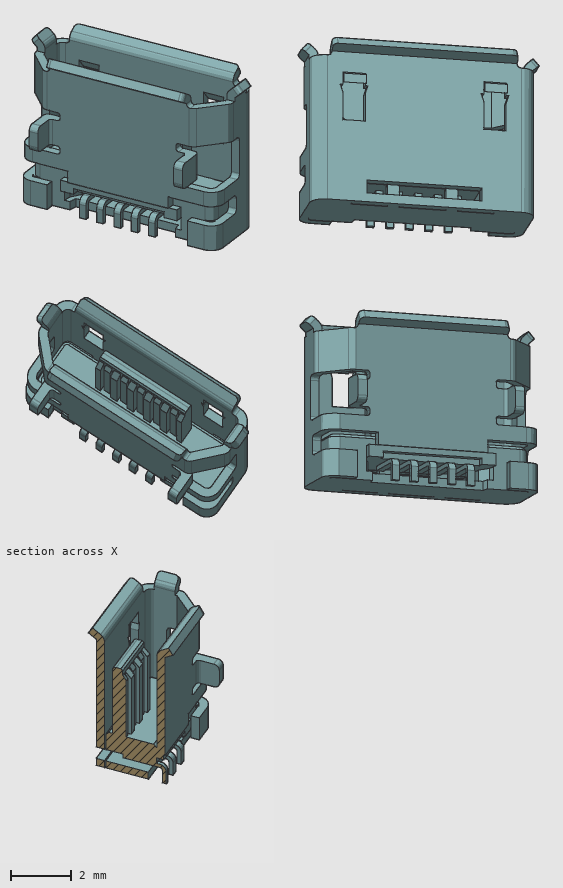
import cadquery as cq
import math


overrun = 0.08

overall_width = 8.0
overall_height = 5.6
shell_width = 7.52
shell_depth = 2.48
wall = 0.3
mouth_z = 5.02
outer_corner = 0.5
inner_corner = outer_corner - wall
half_width = shell_width / 2
inner_half = half_width - wall
inner_back = shell_depth - wall

mouth_chamfer_x = 0.93
mouth_chamfer_y = 0.98
mouth_bend_radius = wall

window_bottom = 2.1
window_top = 3.62
window_back = 1.48
window_front_end = 2.21
window_corner = 0.15
notch_corner = 0.1

band_bottom = 1.58
slot_back = 1.28
slot_corner = 0.15
strap_top = 0.9
strap_proud = 0.05
strap_corner = 0.46
strap_end = 2.66
apron_half = 1.91
apron_bottom = 1.15

leg_bottom = 2.4
leg_top = 3.33
leg_outer = 2.91
leg_root = window_front_end + notch_corner
leg_thickness = 0.33
leg_reach = 0.8
leg_outer_radius = 0.2
leg_inner_radius = 0.1
leg_tip_radius = 0.2

lip_corner = 0.15
lip_neck_fillet = 0.14
back_lip_width = 6.22
front_lip_width = 5.22
side_lip_width = 0.75
side_lip_y = 1.55
end_lip_angle = 58.0
side_lip_angle = 48.0
end_lip_reach = 0.29
side_lip_reach = (overall_width - shell_width) / 2

flap_inner_x = 1.99
flap_outer_x = 2.74
back_window_bottom = 2.8
back_window_top = 4.51
barb_depth = 0.09
barb_top = 4.03
barb_bottom = 3.76
flap_reach = 0.2
flap_thickness = 0.3
flap_angle = 29.0
flap_root_z = 4.46

floor_z = 1.5
floor_chamfer = 0.1
housing_back = 2.13
housing_front_corner = 0.32
housing_back_corner = 0.2
base_front_corner = 0.1
pad_inner_x = 2.39
rib_inner_x = 0.78
rib_outer_x = 1.18
pad_top = floor_z - floor_chamfer

lintel_half = 2.22
lintel_front = 0.05
lintel_bottom = 0.75
lintel_recess_half = 1.72
lintel_recess_top = 0.96

channel_half = 1.93
channel_mouth_half = lintel_half
channel_throat_half = 2.18
channel_taper_end = 0.96
sill_top = 0.3
sill_front = 0.6
sill_mouth_half = 2.01
sill_throat_half = 1.95

tongue_half = 1.7
tongue_back = 1.9
tongue_web_front = 1.52
tongue_rib_front = 1.3
tongue_top = 4.24
tongue_back_radius = 0.15
tongue_bevel = 0.06
tongue_rib_top = 4.0
tongue_rib_drop = 0.22
groove_width = 0.39

contact_count = 5
contact_pitch = 0.66
contact_width = 0.25
contact_thickness = 0.15
contact_bend = 0.25
contact_front = -strap_proud
contact_blade_front = 1.39
contact_tip_z = tongue_rib_top
contact_tip_drop = 0.2

contact_centres = [(i - (contact_count - 1) / 2) * contact_pitch for i in range(contact_count)]


def block(x0, x1, y0, y1, z0, z1):
    """Box between two opposite corners."""
    return cq.Workplane("XY").box(x1 - x0, y1 - y0, z1 - z0, centered=False).translate((x0, y0, z0))


def both_sides(body):
    """Body joined with its mirror image across the middle plane."""
    return body.union(body.mirror("YZ"))


def side_profile(points, x0, x1):
    """Closed outline of (y, z) points extruded along X."""
    return cq.Workplane("YZ").polyline(points).close().extrude(x1 - x0).translate((x0, 0, 0))


def tube(front, back, front_radius, bottom, top):
    """Rounded rectangular tube with the shell's width and wall thickness."""
    outer = block(-half_width, half_width, front, back, bottom, top)
    outer = outer.edges("|Z and >Y").fillet(outer_corner)
    outer = outer.edges("|Z and <Y").fillet(front_radius)
    inner = block(-inner_half, inner_half, front + wall, back - wall, bottom, top)
    inner = inner.edges("|Z and >Y").fillet(inner_corner)
    inner = inner.edges("|Z and <Y").fillet(front_radius - wall)
    return outer.cut(inner)


def mouth_tube():
    """Upper part of the shell, with its two front corners cut off at a slant."""
    flat_half = half_width - mouth_chamfer_x
    corners = [
        (-flat_half, 0),
        (flat_half, 0),
        (half_width, mouth_chamfer_y),
        (half_width, shell_depth),
        (-half_width, shell_depth),
        (-half_width, mouth_chamfer_y),
    ]
    height = mouth_z - window_top
    outer = cq.Workplane("XY").polyline(corners).close().extrude(height)
    inner = cq.Workplane("XY").polyline(corners).close().offset2D(-wall, "intersection").extrude(height)
    outer = outer.edges("|Z and >Y").fillet(outer_corner)
    front_edges = cq.selectors.BoxSelector(
        (-shell_width, -overrun, 0),
        (shell_width, mouth_chamfer_y + overrun, height),
    )
    outer = outer.edges("|Z").edges(front_edges).fillet(mouth_bend_radius)
    inner = inner.edges("|Z and >Y").fillet(inner_corner)
    return outer.cut(inner).translate((0, 0, window_top))


def corner_window():
    """Opening through the right side wall and round into the front wall."""
    side = block(inner_half - wall, half_width + overrun, -overrun, window_back, window_bottom, window_top)
    side = side.edges("|X and >Y").fillet(window_corner)
    opening = side.union(block(leg_root, half_width + overrun, -overrun, wall, window_bottom, window_top))
    for bottom, top in ((window_bottom, leg_bottom), (leg_top, window_top)):
        notch = block(window_front_end, leg_outer, -overrun, wall, bottom, top)
        opening = opening.union(notch.edges("|Y and <X").fillet(notch_corner))
    return opening


def waist_cut():
    """Right half of the gap between the waist band and the strap."""
    side = block(inner_half - wall, half_width + overrun, -overrun, slot_back, strap_top, band_bottom)
    side = side.edges("|X and >Y").fillet(slot_corner)
    front = block(apron_half, half_width + overrun, -overrun, wall, strap_top, band_bottom)
    return side.union(front)


def leg():
    """Right leg: a tongue of the front wall bent forward."""
    height = leg_top - leg_bottom
    inner_x = leg_outer - leg_thickness
    body = cq.Workplane("XY").polyline([
        (leg_root, 0),
        (inner_x, 0),
        (inner_x, -leg_reach),
        (leg_outer, -leg_reach),
        (leg_outer, wall),
        (leg_root, wall),
    ]).close().extrude(height)
    body = body.edges("|Z").edges(">X and >Y").fillet(leg_outer_radius)
    inside_bend = cq.selectors.NearestToPointSelector((inner_x, 0, height / 2))
    body = body.edges(inside_bend).fillet(leg_inner_radius)
    body = body.faces("<Y").edges("|X").fillet(leg_tip_radius)
    return body.translate((0, 0, leg_bottom))


def lip(width, angle_degrees, reach):
    """Flared lip on a wall whose outer face is X = 0, leaning toward +X and centred on Y = 0."""
    angle = math.radians(angle_degrees)
    length = reach / math.sin(angle)
    across = (-wall * math.cos(angle), wall * math.sin(angle))
    bend_z = overall_height - length * math.cos(angle) - across[1]
    tip = (reach, bend_z + length * math.cos(angle))
    half_angle = angle / 2
    profile = (
        cq.Workplane("XZ")
        .moveTo(0, mouth_z)
        .lineTo(0, bend_z)
        .lineTo(*tip)
        .lineTo(tip[0] + across[0], tip[1] + across[1])
        .lineTo(across[0], bend_z + across[1])
        .threePointArc(
            (-wall * math.cos(half_angle), bend_z + wall * math.sin(half_angle)),
            (-wall, bend_z),
        )
        .lineTo(-wall, mouth_z)
        .close()
    )
    body = profile.extrude(width / 2, both=True)
    tip_edges = cq.selectors.ParallelDirSelector(cq.Vector(across[0], 0, across[1]))
    return body.edges(tip_edges).fillet(lip_corner)


def round_lip_neck(shell, half, y):
    """Fillets where both ends of a lip meet the top of the wall."""
    for side in (-1, 1):
        neck_edge = cq.selectors.NearestToPointSelector((side * half, y, mouth_z))
        shell = shell.edges(neck_edge).fillet(lip_neck_fillet)
    return shell


def back_window():
    """Right window in the back wall, with a barb notch in each jamb."""
    middle = (flap_inner_x + flap_outer_x) / 2
    half = flap_outer_x - middle
    barb_half = half + barb_depth
    outline = [
        (half, back_window_bottom),
        (half, barb_bottom),
        (barb_half, barb_top),
        (half, barb_top),
        (half, back_window_top),
    ]
    outline += [(-x, z) for x, z in reversed(outline)]
    cutter = cq.Workplane("XZ").polyline(outline).close().extrude(-wall - 2 * overrun)
    return cutter.translate((middle, inner_back - overrun, 0))


def back_flap():
    """Right flap, sloping down and outward from the top of its window."""
    slope = math.tan(math.radians(flap_angle))
    tip_y = shell_depth + flap_reach
    tip_z = flap_root_z - flap_reach * slope
    return side_profile([
        (inner_back, back_window_top),
        (inner_back, back_window_top + wall / 2),
        (shell_depth, back_window_top + wall / 2),
        (shell_depth, flap_root_z),
        (tip_y, tip_z),
        (tip_y, tip_z - flap_thickness),
        (shell_depth, flap_root_z - flap_thickness),
    ], flap_inner_x, flap_outer_x)


def make_shell():
    """Whole sheet-metal shell with its windows, legs, flaps and lips."""
    base = tube(0, shell_depth, outer_corner, strap_top, window_top)
    strap = tube(-strap_proud, shell_depth, strap_corner, 0, strap_top)
    shell = base.union(mouth_tube())
    shell = shell.cut(both_sides(waist_cut()))
    shell = shell.cut(block(-apron_half, apron_half, -overrun, wall, strap_top, apron_bottom))
    shell = shell.union(strap.cut(block(-strap_end, strap_end, -overrun, wall, 0, strap_top)))
    shell = shell.cut(both_sides(corner_window()))
    shell = shell.union(both_sides(leg()))
    shell = shell.cut(both_sides(back_window()))
    shell = shell.union(both_sides(back_flap()))

    back_lip = lip(back_lip_width, end_lip_angle, end_lip_reach)
    front_lip = lip(front_lip_width, end_lip_angle, end_lip_reach)
    side_lip = lip(side_lip_width, side_lip_angle, side_lip_reach)
    shell = shell.union(back_lip.rotate((0, 0, 0), (0, 0, 1), 90).translate((0, shell_depth, 0)))
    shell = shell.union(front_lip.rotate((0, 0, 0), (0, 0, 1), -90))
    shell = shell.union(both_sides(side_lip.translate((half_width, side_lip_y, 0))))
    shell = round_lip_neck(shell, back_lip_width / 2, shell_depth - wall / 2)
    return round_lip_neck(shell, front_lip_width / 2, wall / 2)


def make_channel():
    """Passage under the housing for the contacts, wider at the front."""
    height = lintel_bottom - sill_top
    right_wall = [
        (channel_mouth_half, wall),
        (channel_throat_half, sill_front),
        (channel_half, channel_taper_end),
        (channel_half, shell_depth + overrun),
    ]
    left_wall = [(-x, y) for x, y in reversed(right_wall)]
    channel = cq.Workplane("XY").polyline(right_wall + left_wall).close().extrude(height)
    sill_notch = cq.Workplane("XY").polyline([
        (-sill_mouth_half, wall),
        (sill_mouth_half, wall),
        (sill_throat_half, sill_front),
        (-sill_throat_half, sill_front),
    ]).close().extrude(sill_top)
    return channel.translate((0, 0, sill_top)).union(sill_notch)


def make_housing():
    """Plastic housing, and apart from it the back ribs that stand across the channel."""
    housing = block(-inner_half, inner_half, wall, housing_back, 0, floor_z)
    housing = housing.edges("|Z and <Y").fillet(housing_front_corner)
    housing = housing.edges("|Z and >Y").fillet(housing_back_corner)
    housing = housing.faces(">Z").chamfer(floor_chamfer)
    base = block(strap_end, inner_half, wall, slot_back, 0, strap_top)
    base = base.edges("|Z and >X and <Y").fillet(base_front_corner)
    pad_front = housing_back - housing_back_corner
    pad = block(pad_inner_x, inner_half, pad_front, inner_back, 0, pad_top)
    pad = pad.edges("|Z and >X and >Y").fillet(inner_corner)
    rib = block(rib_inner_x, rib_outer_x, pad_front, inner_back, 0, pad_top)
    lintel = block(-lintel_half, lintel_half, lintel_front, wall, lintel_bottom, apron_bottom)
    recess = block(
        -lintel_recess_half, lintel_recess_half, lintel_front, wall, lintel_bottom, lintel_recess_top,
    )
    housing = housing.union(both_sides(pad.union(base))).union(lintel.cut(recess))
    return housing, both_sides(rib)


def make_tongue():
    """Mating tongue: a flat web with ribs between the contact grooves."""
    bevel_z = tongue_top - tongue_bevel
    web = side_profile([
        (tongue_web_front, pad_top),
        (tongue_web_front, bevel_z),
        (tongue_web_front + tongue_bevel, tongue_top),
        (tongue_back, tongue_top),
        (tongue_back, pad_top),
    ], -tongue_half, tongue_half)
    web = web.edges("|X and >Y and >Z").fillet(tongue_back_radius)
    ribs = side_profile([
        (tongue_rib_front, pad_top),
        (tongue_rib_front, tongue_rib_top - tongue_rib_drop),
        (tongue_web_front, tongue_rib_top),
        (tongue_web_front, pad_top),
    ], -tongue_half, tongue_half)
    groove = block(
        -groove_width / 2, groove_width / 2, tongue_rib_front, tongue_web_front, floor_z, tongue_top,
    )
    for x in contact_centres:
        ribs = ribs.cut(groove.translate((x, 0, 0)))
    return web.union(ribs)


def contact():
    """One contact: foot, bend, run under the housing and blade along the tongue."""
    run_bottom = lintel_bottom - contact_thickness
    foot = side_profile([
        (contact_front, 0),
        (contact_front, lintel_bottom),
        (tongue_web_front, lintel_bottom),
        (tongue_web_front, run_bottom),
        (contact_front + contact_thickness, run_bottom),
        (contact_front + contact_thickness, 0),
    ], -contact_width / 2, contact_width / 2)
    inside = cq.selectors.NearestToPointSelector((0, contact_front + contact_thickness, run_bottom))
    foot = foot.edges(inside).fillet(contact_bend - contact_thickness)
    foot = foot.edges("|X and <Y and >Z").fillet(contact_bend)
    blade = side_profile([
        (contact_blade_front, run_bottom),
        (contact_blade_front, contact_tip_z - contact_tip_drop),
        (tongue_web_front, contact_tip_z),
        (tongue_web_front, run_bottom),
    ], -contact_width / 2, contact_width / 2)
    return foot.union(blade)


housing, back_ribs = make_housing()
result = make_shell().union(housing).cut(make_channel()).union(back_ribs).union(make_tongue())
for centre in contact_centres:
    result = result.union(contact().translate((centre, 0, 0)))